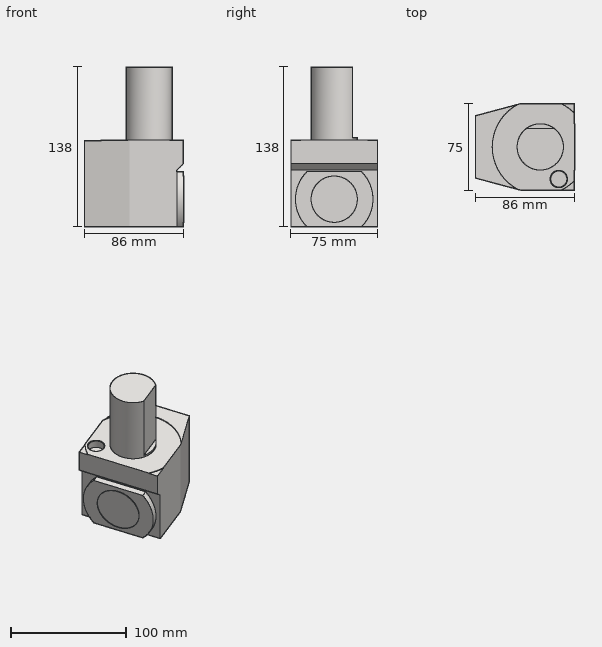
import cadquery as cq
import math


body_width = 75.0
body_top = 74.5
nose_x = -56.0
nose_width = 54.0
taper_angle = 15.0
front_x = 29.5
seat_top = 75.0
seat_radius = 41.5

relief_depth = 5.6
relief_flat_top = 49.0
relief_roof_top = 54.5

flange_radius = 33.5
flange_height = 47.7
pilot_diameter = 40.0
pilot_length = 0.5

shank_diameter = 40.0
shank_top = 138.0
shank_flat_y = 16.0
collar_height = 2.0
shank_flat_start = seat_top + collar_height

hole_x = 16.0
hole_y = -27.75
hole_diameter = 14.01
hole_depth = 7.5
hole_chamfer = 0.5

relief_x = front_x - relief_depth
flange_axis_z = flange_height / 2


def body_prism(height):
    """Body outline, tapered towards the nose, extruded up from Z = 0."""
    half_width = body_width / 2
    half_nose = nose_width / 2
    taper_end_x = nose_x + (half_width - half_nose) / math.tan(math.radians(taper_angle))
    outline = [
        (nose_x, -half_nose),
        (taper_end_x, -half_width),
        (front_x, -half_width),
        (front_x, half_width),
        (taper_end_x, half_width),
        (nose_x, half_nose),
    ]
    return cq.Workplane("XY").polyline(outline).close().extrude(height)


def seat():
    """Round seat, trimmed to the body outline."""
    disc = cq.Workplane("XY").circle(seat_radius).extrude(seat_top)
    return disc.intersect(body_prism(seat_top))


def relief():
    """Full-width cut in the lower +X end, with a sloped roof."""
    profile = [
        (relief_x, 0),
        (front_x, 0),
        (front_x, relief_roof_top),
        (relief_x, relief_flat_top),
    ]
    return cq.Workplane("XZ").polyline(profile).close().extrude(body_width / 2, both=True)


def end_disc(radius, end_x):
    """Disc on the flange axis, from the relief face out to end_x."""
    plane = cq.Workplane("YZ", origin=(relief_x, 0, flange_axis_z))
    return plane.circle(radius).extrude(end_x - relief_x)


def flange():
    """Large disc cut flat at the body underside and at the flange height."""
    band = cq.Workplane("XY", origin=(relief_x, 0, 0)).box(
        relief_depth, 2 * flange_radius, flange_height, centered=(False, True, False)
    )
    return end_disc(flange_radius, front_x).intersect(band)


def shank():
    """Upright cylinder with one flat on the +Y side above a short round collar."""
    radius = shank_diameter / 2
    cylinder = cq.Workplane("XY", origin=(0, 0, body_top)).circle(radius).extrude(shank_top - body_top)
    flat_cut = cq.Workplane("XY", origin=(0, shank_flat_y, shank_flat_start)).box(
        shank_diameter,
        radius - shank_flat_y,
        shank_top - shank_flat_start,
        centered=(True, False, False),
    )
    return cylinder.cut(flat_cut)


def seat_hole():
    """Blind hole with a chamfered mouth, revolved about its own axis."""
    radius = hole_diameter / 2
    profile = [
        (0, -hole_depth),
        (radius, -hole_depth),
        (radius, -hole_chamfer),
        (radius + hole_chamfer, 0),
        (0, 0),
    ]
    plane = cq.Workplane("XZ", origin=(hole_x, hole_y, seat_top))
    return plane.polyline(profile).close().revolve(360, (0, 0), (0, 1))


body = body_prism(body_top).union(seat()).cut(relief())
pilot = end_disc(pilot_diameter / 2, front_x + pilot_length)
result = body.union(flange()).union(pilot).union(shank()).cut(seat_hole())